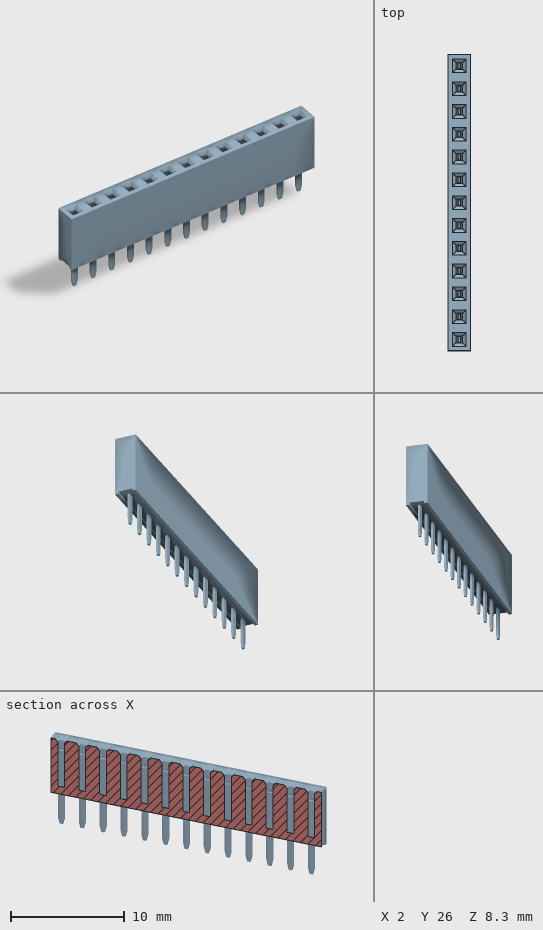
import cadquery as cq

socket_count = 13
pitch = 2.0

body_width = 2.0
body_length = socket_count * pitch
body_height = 5.6
channel_width = 1.35
channel_height = 0.2

funnel_mouth = 1.2
hole_side = 0.6
funnel_depth = 0.3
hole_bottom = 1.0

pin_thickness = 0.2
pin_width = 0.6
pin_tip_width = 0.3
pin_taper_length = 0.6
pin_bottom = -2.7
contact_width = 0.5
contact_top = 4.5


def make_housing():
    """Rectangular block with a shallow channel along its underside."""
    block = cq.Workplane("XY").box(body_width, body_length, body_height, centered=(True, True, False))
    channel = cq.Workplane("XY").box(channel_width, body_length, channel_height, centered=(True, True, False))
    return block.cut(channel)


def make_socket(y):
    """Cavity of one socket, open at the top of the housing."""
    funnel = (
        cq.Workplane("XY", origin=(0, y, body_height))
        .rect(funnel_mouth, funnel_mouth)
        .workplane(offset=-funnel_depth)
        .rect(hole_side, hole_side)
        .loft(ruled=True)
    )
    hole_depth = body_height - funnel_depth - hole_bottom
    hole = cq.Workplane("XY", origin=(0, y, hole_bottom)).box(
        hole_side, hole_side, hole_depth, centered=(True, True, False)
    )
    return funnel.union(hole)


def make_pin(y):
    """Blade from the tapered tip up into the socket hole, where it clears the hole walls."""
    taper_top = pin_bottom + pin_taper_length
    outline = [
        (y - pin_tip_width / 2, pin_bottom),
        (y + pin_tip_width / 2, pin_bottom),
        (y + pin_width / 2, taper_top),
        (y + pin_width / 2, channel_height),
        (y + contact_width / 2, channel_height),
        (y + contact_width / 2, contact_top),
        (y - contact_width / 2, contact_top),
        (y - contact_width / 2, channel_height),
        (y - pin_width / 2, channel_height),
        (y - pin_width / 2, taper_top),
    ]
    return cq.Workplane("YZ").polyline(outline).close().extrude(pin_thickness / 2, both=True)


result = make_housing()
first_y = -(socket_count - 1) * pitch / 2
socket_positions = [first_y + i * pitch for i in range(socket_count)]
for socket_y in socket_positions:
    result = result.cut(make_socket(socket_y))
for socket_y in socket_positions:
    result = result.union(make_pin(socket_y))